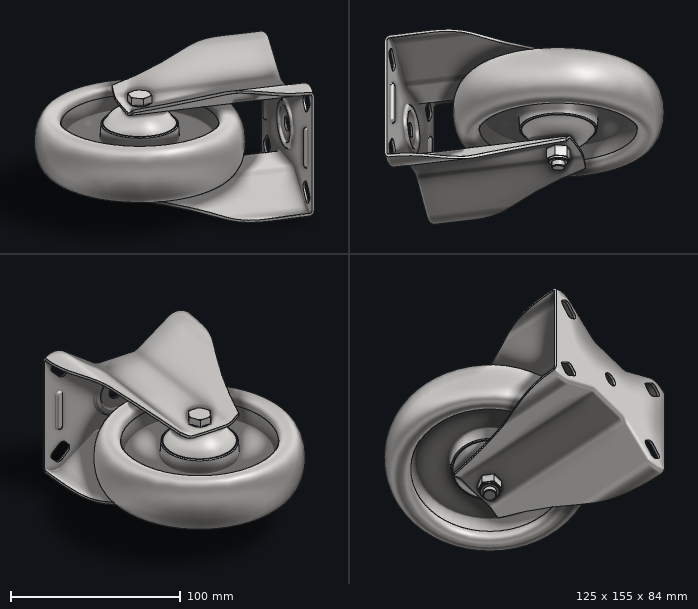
import cadquery as cq
import math


overall_length = 155.0
tyre_diameter = 125.0
tyre_radius = tyre_diameter / 2
plate_back_y = overall_length - tyre_radius

sheet = 1.5
plate_half_width = 50.2
leg_outer_z = 24.0
wing_peak_z = 42.0
leg_flat_half_width = 11.5
wing_angle = 35.0
tail_angle = 30.0
root_bend_radius = 7.6
peak_bend_radius = 10.5
fold_inner_radius = 1.4
fold_outer_radius = fold_inner_radius + sheet
trim_allowance = 6.2
blank_half_width = plate_half_width + trim_allowance

shoulder_y = 89.9
waist_x = 40.9
waist_y = 48.0
foot_x = 20.6
foot_y = -10.7
foot_middle_y = -11.6

slot_x = 38.9
slot_z = 28.7
slot_length = 12.5
slot_width = 9.3
slot_corner_radius = 3.1
slot_angle = 45.0
plate_hole_radius = 4.5
bead_width = 4.0
bead_height = 1.7
bead_top_radius = 1.4
bead_foot_radius = 0.8
bead_ring_radius = 13.0
rib_x = 40.0
rib_length = 25.7

tyre_half_width = 17.5
tyre_crest_radius = 53.5
tyre_seat_radius = 46.6
rim_half_width = 10.7
web_edge_radius = 44.3
web_half_thickness = 1.9
web_fillet = 1.0
hub_root_radius = 23.5
hub_top_radius = 23.0
hub_half_width = 11.5
hub_chamfer = 0.6

cap_sphere_radius = 25.4
cap_centre_z = -1.7

bolt_radius = 4.0
bolt_tip_z = -36.1
bolt_tip_chamfer = 0.5
head_across_flats = 12.9
head_height = 5.0
head_chamfer_height = 0.3
head_chamfer_width = 0.6
head_collar_radius = 6.0
head_collar_height = 0.6
nut_across_flats = 12.4
nut_hex_height = 6.7
nut_collar_radius = 6.0
nut_collar_height = 1.7
nut_collar_chamfer = 0.5

pick_margin = 0.2

leg_inner_z = leg_outer_z - sheet
plate_front_y = plate_back_y - sheet


def on_circle(centre, radius, degrees):
    """The point of a circle in the given direction."""
    angle = math.radians(degrees)
    return (centre[0] + radius * math.cos(angle), centre[1] + radius * math.sin(angle))


def hourglass(inset, y_back, length):
    """Hourglass prism running from y_back toward -Y, its wavy sides moved inward by inset."""
    slope = math.radians(wing_angle)
    radii = root_bend_radius + peak_bend_radius
    wing_rise = wing_peak_z - leg_outer_z - radii * (1 - math.cos(slope))
    peak_x = leg_flat_half_width + radii * math.sin(slope) + wing_rise / math.tan(slope)
    root_centre = (leg_flat_half_width, leg_outer_z + root_bend_radius)
    peak_centre = (peak_x, wing_peak_z - peak_bend_radius)
    root_radius = root_bend_radius + inset
    peak_radius = peak_bend_radius - inset

    tail_start = on_circle(peak_centre, peak_radius, 90 - tail_angle)
    tail_drop = (blank_half_width - tail_start[0]) * math.tan(math.radians(tail_angle))
    quarter = (
        cq.Workplane("XZ", origin=(0, y_back, 0))
        .lineTo(0, leg_outer_z - inset)
        .lineTo(leg_flat_half_width, leg_outer_z - inset)
        .threePointArc(
            on_circle(root_centre, root_radius, -90 + wing_angle / 2),
            on_circle(root_centre, root_radius, -90 + wing_angle),
        )
        .lineTo(*on_circle(peak_centre, peak_radius, 90 + wing_angle))
        .threePointArc(on_circle(peak_centre, peak_radius, 90), tail_start)
        .lineTo(blank_half_width, tail_start[1] - tail_drop)
        .lineTo(blank_half_width, 0)
        .close()
        .extrude(length)
    )
    half = quarter.union(quarter.mirror("YZ"))
    return half.union(half.mirror("XY"))


def folded_blank():
    """Plate and both legs as a shell of constant thickness with rounded folds."""
    length = plate_back_y - foot_middle_y
    outer = hourglass(0, plate_back_y, length)
    outer = outer.faces(">Y").edges("not |Z").fillet(fold_outer_radius)
    inner = hourglass(sheet, plate_front_y, length)
    inner = inner.faces(">Y").edges("not |Z").fillet(fold_inner_radius)
    return outer.cut(inner)


def side_outline():
    """Prism that trims the legs to their tapering outline, with a slightly rounded foot."""
    half_height = wing_peak_z + trim_allowance
    foot_sag = foot_y - foot_middle_y
    foot_radius = (foot_x**2 + foot_sag**2) / (2 * foot_sag)
    half = (
        cq.Workplane("XY", origin=(0, 0, -half_height))
        .moveTo(0, plate_back_y)
        .lineTo(plate_half_width, plate_back_y)
        .lineTo(plate_half_width, shoulder_y)
        .tangentArcPoint((waist_x, waist_y), relative=False)
        .tangentArcPoint((foot_x, foot_y), relative=False)
        .radiusArc((0, foot_middle_y), foot_radius)
        .close()
        .extrude(2 * half_height)
    )
    return half.union(half.mirror("YZ"))


def plate_slot(side_x, side_z):
    """Cutter for the rounded mounting slot in one corner, pointing at the plate's middle."""
    return (
        cq.Workplane("XZ")
        .rect(slot_length, slot_width)
        .extrude(sheet)
        .edges("|Y")
        .fillet(slot_corner_radius)
        .rotate((0, 0, 0), (0, 1, 0), -slot_angle * side_x * side_z)
        .translate((side_x * slot_x, plate_back_y, side_z * slot_z))
    )


def plate_ring():
    """Raised ring around the plate's centre hole."""
    blank = (
        cq.Workplane("XZ", origin=(0, plate_front_y, 0))
        .circle(bead_ring_radius + bead_width / 2)
        .circle(bead_ring_radius - bead_width / 2)
        .extrude(bead_height)
    )
    return blank.faces("<Y").edges().fillet(bead_top_radius)


def plate_rib(x):
    """Raised upright rib near one side of the plate."""
    blank = cq.Workplane("XZ", origin=(x, plate_front_y, 0)).slot2D(rib_length, bead_width, 90)
    return blank.extrude(bead_height).faces("<Y").edges().fillet(bead_top_radius)


def bolt_bore():
    """Cutter for the bolt hole through everything on the wheel axis."""
    return cq.Workplane("XY").circle(bolt_radius).extrude(leg_outer_z, both=True)


def make_bracket():
    """Folded bracket with its raised beads, mounting slots and holes."""
    bracket = folded_blank().intersect(side_outline())
    for bead in (plate_ring(), plate_rib(-rib_x), plate_rib(rib_x)):
        bracket = bracket.union(bead)

    reach_x = rib_x + bead_width
    reach_z = rib_length / 2 + pick_margin
    bead_feet = cq.selectors.BoxSelector(
        (-reach_x, plate_front_y - pick_margin, -reach_z),
        (reach_x, plate_front_y + pick_margin, reach_z),
    )
    bracket = bracket.edges(bead_feet).fillet(bead_foot_radius)

    for side_x in (-1, 1):
        for side_z in (-1, 1):
            bracket = bracket.cut(plate_slot(side_x, side_z))
    plate_hole = cq.Workplane("XZ", origin=(0, plate_back_y, 0)).circle(plate_hole_radius).extrude(sheet)
    return bracket.cut(plate_hole).cut(bolt_bore())


def turned(profile):
    """Solid of revolution about Z of a profile drawn in the XZ plane."""
    return profile.revolve(360, (0, 0, 0), (0, 1, 0))


def make_tyre():
    """Tyre: ring with an elliptical tread and rounded inner lips, seated on the wheel core."""
    lip_run = tyre_crest_radius - tyre_seat_radius
    lip_rise = tyre_half_width - rim_half_width
    profile = (
        cq.Workplane("XZ")
        .moveTo(tyre_crest_radius, -tyre_half_width)
        .ellipseArc(tyre_radius - tyre_crest_radius, tyre_half_width, -90, 90)
        .ellipseArc(lip_run, lip_rise, 90, 180)
        .lineTo(tyre_seat_radius, -rim_half_width)
        .ellipseArc(lip_run, lip_rise, 180, 270)
        .close()
    )
    return turned(profile)


def make_wheel_core():
    """Web with a tapered rim and a bored hub."""
    profile = (
        cq.Workplane("XZ")
        .moveTo(bolt_radius, 0)
        .lineTo(tyre_seat_radius, 0)
        .lineTo(tyre_seat_radius, rim_half_width)
        .lineTo(web_edge_radius, web_half_thickness)
        .lineTo(hub_root_radius, web_half_thickness)
        .lineTo(hub_top_radius, hub_half_width - hub_chamfer)
        .lineTo(hub_top_radius - hub_chamfer, hub_half_width)
        .lineTo(bolt_radius, hub_half_width)
        .close()
    )
    on_web = cq.selectors.BoxSelector(
        (-tyre_seat_radius, -tyre_seat_radius, web_half_thickness - pick_margin),
        (tyre_seat_radius, tyre_seat_radius, web_half_thickness + pick_margin),
        boundingbox=True,
    )
    half = turned(profile).edges(on_web).fillet(web_fillet)
    return half.union(half.mirror("XY"))


def make_cap(side):
    """Bored spherical cap between the hub and one bracket leg; side is +1 or -1 along Z."""
    base_radius = math.sqrt(cap_sphere_radius**2 - (hub_half_width - cap_centre_z) ** 2)
    top_radius = math.sqrt(cap_sphere_radius**2 - (leg_inner_z - cap_centre_z) ** 2)
    profile = (
        cq.Workplane("XZ")
        .moveTo(bolt_radius, hub_half_width)
        .lineTo(base_radius, hub_half_width)
        .radiusArc((top_radius, leg_inner_z), -cap_sphere_radius)
        .lineTo(bolt_radius, leg_inner_z)
        .close()
    )
    upper = turned(profile)
    return upper if side > 0 else upper.mirror("XY")


def hexagon_diameter(across_flats):
    """Diameter of the circle through a hexagon's corners."""
    return across_flats / math.cos(math.pi / 6)


def make_bolt():
    """Hexagon head with a round bearing collar, and a shank with a chamfered tip."""
    head_bottom = leg_outer_z + head_collar_height
    corner_diameter = hexagon_diameter(head_across_flats)
    head = (
        cq.Workplane("XY", origin=(0, 0, head_bottom))
        .polygon(6, corner_diameter)
        .extrude(head_height)
    )
    rounding = (
        cq.Workplane("XY", origin=(0, 0, head_bottom))
        .circle(corner_diameter / 2)
        .extrude(head_height)
        .faces(">Z")
        .chamfer(head_chamfer_height, head_chamfer_width)
    )
    collar = (
        cq.Workplane("XY", origin=(0, 0, leg_outer_z)).circle(head_collar_radius).extrude(head_collar_height)
    )
    shank = (
        cq.Workplane("XY", origin=(0, 0, bolt_tip_z))
        .circle(bolt_radius)
        .extrude(head_bottom - bolt_tip_z)
        .faces("<Z")
        .chamfer(bolt_tip_chamfer)
    )
    return head.intersect(rounding).union(collar).union(shank)


def make_nut():
    """Hexagon nut with a round locking collar on its free side."""
    nut_bottom = -leg_outer_z - nut_hex_height
    hexagon = (
        cq.Workplane("XY", origin=(0, 0, nut_bottom))
        .polygon(6, hexagon_diameter(nut_across_flats))
        .extrude(nut_hex_height)
    )
    collar = (
        cq.Workplane("XY", origin=(0, 0, nut_bottom - nut_collar_height))
        .circle(nut_collar_radius)
        .extrude(nut_collar_height)
        .faces("<Z")
        .chamfer(nut_collar_chamfer)
    )
    bore = cq.Workplane("XY", origin=(0, 0, bolt_tip_z)).circle(bolt_radius).extrude(-bolt_tip_z)
    return hexagon.union(collar).cut(bore)


bracket = make_bracket()
tyre = make_tyre()
wheel_core = make_wheel_core()
caps = [make_cap(side) for side in (1, -1)]
bolt = make_bolt()
nut = make_nut()

result = cq.Compound.makeCompound(
    [bracket.val(), tyre.val(), wheel_core.val(), *[cap.val() for cap in caps], bolt.val(), nut.val()]
)